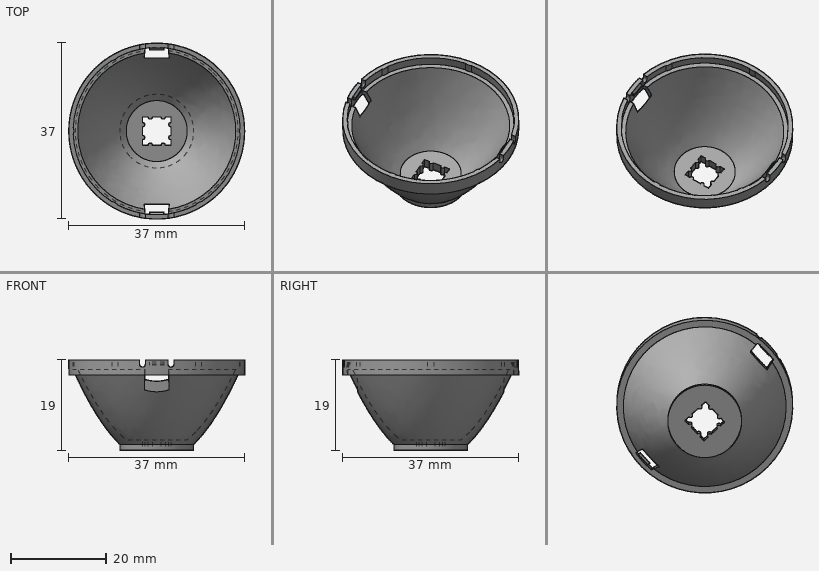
import cadquery as cq
import math

total_height = 19.0
collar_height = 1.2
floor_top = 2.2
rim_bottom = 15.8
ledge_height = 17.0

rim_outer_radius = 37.0 / 2
rim_inner_radius = 35.1 / 2
collar_radius = 15.52 / 2
floor_radius = 12.82 / 2
bowl_mouth_radius = 33.2 / 2
bowl_outer_top_radius = 34.2 / 2

opening_side = 5.9
opening_bump_radius = 0.45
opening_bump_spacing = 2.7

notch_width = 1.2
notch_depth = 1.5
notch_spacing = 6.0

window_inner_y = 15.38
window_inner_width = 5.2
window_outer_width = 4.85

tab_width = 3.0
tab_tip_y = 17.0
tab_root_height = 1.1
tab_tip_top_drop = 0.5
tab_tip_bottom_drop = 0.85

rib_count = 6
rib_radius = 2.0
rib_height = 0.15


def parabola_points(start_radius, start_z, end_radius, end_z, segments=6):
    """Points (r, z) on a parabola of revolution, where z grows with r squared."""
    rise_rate = (end_z - start_z) / (end_radius**2 - start_radius**2)
    step = (end_radius - start_radius) / segments
    radii = [start_radius + i * step for i in range(segments + 1)]
    return [(r, start_z + rise_rate * (r**2 - start_radius**2)) for r in radii]


def make_bowl():
    """Reflector bowl with collar, parabolic wall and a rim not yet bored out to its ledge."""
    outer_wall = parabola_points(collar_radius, collar_height, bowl_outer_top_radius, rim_bottom)
    inner_wall = parabola_points(bowl_mouth_radius, ledge_height, floor_radius, floor_top)
    profile = (
        cq.Workplane("XZ")
        .lineTo(collar_radius, 0)
        .lineTo(collar_radius, collar_height)
        .spline(outer_wall[1:], includeCurrent=True)
        .lineTo(rim_outer_radius, rim_bottom)
        .lineTo(rim_outer_radius, total_height)
        .lineTo(bowl_mouth_radius, total_height)
        .lineTo(bowl_mouth_radius, ledge_height)
        .spline(inner_wall[1:], includeCurrent=True)
        .lineTo(0, floor_top)
        .close()
    )
    return profile.revolve(360, (0, 0, 0), (0, 1, 0))


def make_floor_opening():
    """Square through opening, less two round bumps on each side."""
    opening = cq.Workplane("XY").rect(opening_side, opening_side).extrude(floor_top)
    half_side = opening_side / 2
    half_spacing = opening_bump_spacing / 2
    bump_centres = []
    for along in (-half_spacing, half_spacing):
        for edge in (-half_side, half_side):
            bump_centres.append((along, edge))
            bump_centres.append((edge, along))
    bumps = cq.Workplane("XY").pushPoints(bump_centres).circle(opening_bump_radius).extrude(floor_top)
    return opening.cut(bumps)


def make_notches():
    """Round-bottomed slots running along Y through both sides of the rim."""
    notch_radius = notch_width / 2
    straight_depth = notch_depth - notch_radius
    notch = (
        cq.Workplane("XZ")
        .moveTo(-notch_radius, total_height)
        .lineTo(-notch_radius, total_height - straight_depth)
        .threePointArc((0, total_height - notch_depth), (notch_radius, total_height - straight_depth))
        .lineTo(notch_radius, total_height)
        .close()
        .extrude(rim_outer_radius, both=True)
    )
    left_notch = notch.translate((-notch_spacing / 2, 0, 0))
    right_notch = notch.translate((notch_spacing / 2, 0, 0))
    return left_notch.union(right_notch)


def make_window():
    """Tapered vertical cut from the flat inner face out to the inside of the rim."""
    half_inner = window_inner_width / 2
    half_outer = window_outer_width / 2
    corner_y = math.sqrt(rim_inner_radius**2 - half_outer**2)
    return (
        cq.Workplane("XY")
        .moveTo(-half_inner, window_inner_y)
        .lineTo(half_inner, window_inner_y)
        .lineTo(half_outer, corner_y)
        .threePointArc((0, rim_inner_radius), (-half_outer, corner_y))
        .close()
        .extrude(ledge_height)
    )


def make_tab():
    """Wedge-shaped snap tab, rooted in the middle of the rim wall."""
    root_y = (rim_inner_radius + rim_outer_radius) / 2
    wall_y = math.sqrt(rim_inner_radius**2 - (tab_width / 2) ** 2)
    return (
        cq.Workplane("YZ")
        .moveTo(root_y, total_height)
        .lineTo(wall_y, total_height)
        .lineTo(tab_tip_y, total_height - tab_tip_top_drop)
        .lineTo(tab_tip_y, total_height - tab_tip_bottom_drop)
        .lineTo(wall_y, total_height - tab_root_height)
        .lineTo(root_y, total_height - tab_root_height)
        .close()
        .extrude(tab_width / 2, both=True)
    )


def make_rim_bore():
    """Material to remove above the ledge, which leaves the rounded ribs and the tabs standing."""
    bore_depth = total_height - ledge_height
    rib_centre_distance = rim_inner_radius - rib_height + rib_radius
    bore = cq.Workplane("XY", origin=(0, 0, ledge_height)).circle(rim_inner_radius).extrude(bore_depth)
    ribs = (
        cq.Workplane("XY", origin=(0, 0, ledge_height))
        .polarArray(rib_centre_distance, 0, 360, rib_count)
        .circle(rib_radius)
        .extrude(bore_depth)
    )
    return bore.cut(ribs).cut(on_both_sides(make_tab()))


def on_both_sides(shape):
    """The shape together with its half-turn copy about the Z axis."""
    return shape.union(shape.rotate((0, 0, 0), (0, 0, 1), 180))


result = (
    make_bowl()
    .cut(make_floor_opening())
    .cut(on_both_sides(make_window()))
    .cut(make_rim_bore())
    .cut(make_notches())
)